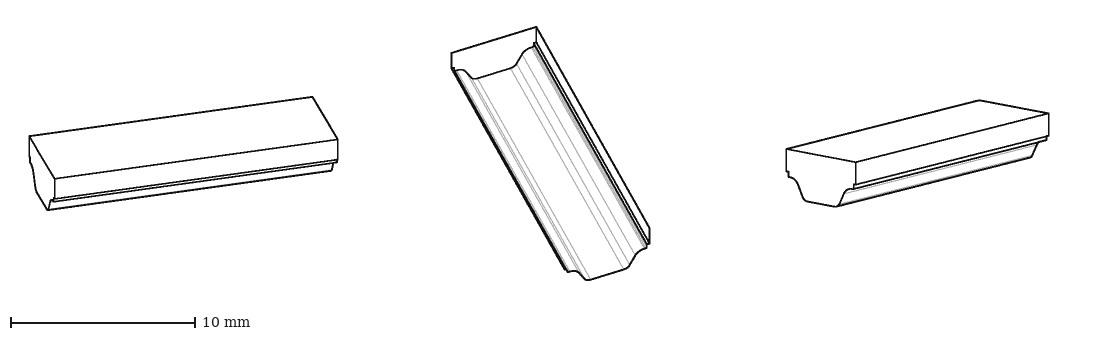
import cadquery as cq

length = 16.0
width = 5.0
height = 2.7

flange_depth = 1.25
shoulder_depth = 1.54
shoulder_inset = 0.16
tooth_root_width = 3.65
tooth_tip_width = 2.43
root_radius = 0.6
tip_radius = 0.4
shoulder_radius = 0.06

half_width = width / 2
half_shoulder = half_width - shoulder_inset
half_root = tooth_root_width / 2
half_tip = tooth_tip_width / 2


def lengthwise_edges(solid, half_span, depth):
    """Select the mirrored pair of lengthwise edges at one profile corner."""
    return (
        solid.edges(cq.selectors.NearestToPointSelector((-half_span, 0, -depth)))
        .add(solid.edges(cq.selectors.NearestToPointSelector((half_span, 0, -depth))))
    )


right_side = [
    (half_width, 0),
    (half_width, -flange_depth),
    (half_shoulder, -flange_depth),
    (half_shoulder, -shoulder_depth),
    (half_root, -shoulder_depth),
    (half_tip, -height),
]
left_side = [(-x, z) for x, z in reversed(right_side)]
result = (
    cq.Workplane("XZ")
    .polyline(right_side + left_side)
    .close()
    .extrude(length / 2, both=True)
)

for half_span, depth, radius in (
    (half_tip, height, tip_radius),
    (half_root, shoulder_depth, root_radius),
    (half_shoulder, shoulder_depth, shoulder_radius),
):
    result = lengthwise_edges(result, half_span, depth).fillet(radius)